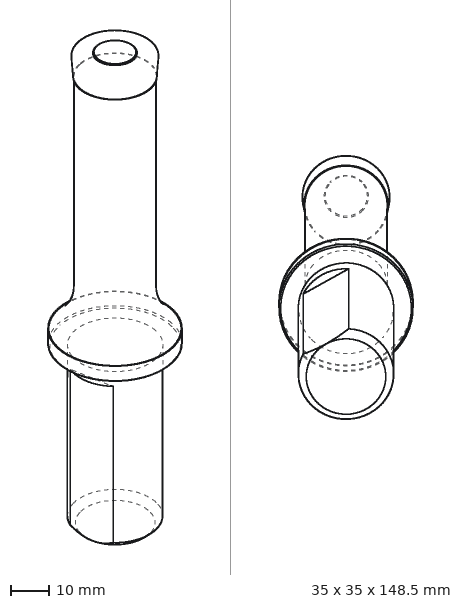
import cadquery as cq
import math

total_height = 148.5
joint_z = 140.8
flare_top_z = 74.5
collar_top_z = 61.2
collar_bottom_z = 56.1
flat_top_z = 51.4

shank_radius = 25.0 / 2
shank_chamfer = 2.1
flat_offset = 10.4
collar_radius = 35.0 / 2
collar_chamfer = 0.5
neck_radius = 21.5 / 2
flare_slope = math.radians(45)
flare_cone_radius = 15.6

head_base_radius = 11.0
head_rim_radius = 11.5
head_rim_round = 0.7
head_face_rim_z = 147.9
boss_base_radius = 5.8
boss_base_z = 148.13
boss_step = 0.3
tip_radius = 0.5


def make_holder_profile():
    """Half section of the holder in the XZ plane, with a concave flare above the collar."""
    arc_radius = (flare_cone_radius - neck_radius) / (1 - math.cos(flare_slope))
    arc_center_x = neck_radius + arc_radius
    arc_end_z = flare_top_z - arc_radius * math.sin(flare_slope)
    arc_middle = (
        arc_center_x - arc_radius * math.cos(flare_slope / 2),
        flare_top_z - arc_radius * math.sin(flare_slope / 2),
    )
    cone_foot_radius = flare_cone_radius + (arc_end_z - collar_top_z) / math.tan(flare_slope)
    return (
        cq.Workplane("XZ")
        .moveTo(0, 0)
        .lineTo(shank_radius - shank_chamfer, 0)
        .lineTo(shank_radius, shank_chamfer)
        .lineTo(shank_radius, collar_bottom_z)
        .lineTo(collar_radius - collar_chamfer, collar_bottom_z)
        .lineTo(collar_radius, collar_bottom_z + collar_chamfer)
        .lineTo(collar_radius, collar_top_z)
        .lineTo(cone_foot_radius, collar_top_z)
        .lineTo(flare_cone_radius, arc_end_z)
        .threePointArc(arc_middle, (neck_radius, flare_top_z))
        .lineTo(neck_radius, joint_z)
        .lineTo(0, joint_z)
        .close()
    )


def make_clamping_flat_cutter():
    """Block that removes the -Y side of the shank up to the top of the flat."""
    return cq.Workplane("XY").box(
        2 * shank_radius, shank_radius, flat_top_z, centered=(True, False, False)
    ).translate((0, -flat_offset - shank_radius, 0))


def make_holder():
    """Shank with its clamping flat, collar, flare and neck."""
    return make_holder_profile().revolve(360, (0, 0), (0, 1)).cut(make_clamping_flat_cutter())


def make_head():
    """Cap seated on the end of the neck."""
    rim_center_x = head_rim_radius - head_rim_round
    rim_center_z = head_face_rim_z - head_rim_round
    rim_round_middle = (
        rim_center_x + head_rim_round * math.sqrt(0.5),
        rim_center_z + head_rim_round * math.sqrt(0.5),
    )
    profile = (
        cq.Workplane("XZ")
        .moveTo(0, joint_z)
        .lineTo(head_base_radius, joint_z)
        .lineTo(head_rim_radius, rim_center_z)
        .threePointArc(rim_round_middle, (rim_center_x, head_face_rim_z))
        .lineTo(boss_base_radius, boss_base_z)
        .lineTo(boss_base_radius - boss_step, boss_base_z + boss_step)
        .lineTo(tip_radius, total_height)
        .lineTo(0, total_height)
        .close()
    )
    return profile.revolve(360, (0, 0), (0, 1))


holder = make_holder()
head = make_head()

result = cq.Compound.makeCompound([holder.val(), head.val()])